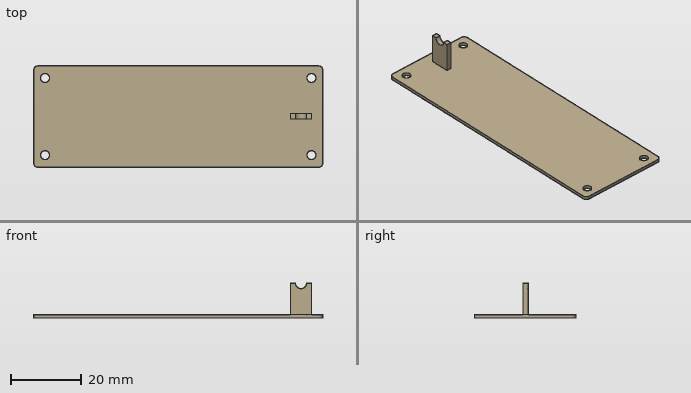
import cadquery as cq

PLATE_LENGTH = 82.5
PLATE_WIDTH = 29.0
PLATE_THICKNESS = 1.0
CORNER_RADIUS = 1.25

HOLE_DIAMETER = 2.5
HOLE_SPACING_X = 76.0
HOLE_SPACING_Y = 22.0

TOTAL_HEIGHT = 10.0
POST_WIDTH = 6.1
POST_THICKNESS = 1.55
POST_CENTER_X = 35.0
POST_CENTER_Y = 0.1
CRADLE_DIAMETER = 3.15


def make_plate():
    """Flat plate with rounded corners and four through holes."""
    return (
        cq.Workplane("XY")
        .box(PLATE_LENGTH, PLATE_WIDTH, PLATE_THICKNESS, centered=(True, True, False))
        .edges("|Z")
        .fillet(CORNER_RADIUS)
        .faces(">Z")
        .workplane()
        .rect(HOLE_SPACING_X, HOLE_SPACING_Y, forConstruction=True)
        .vertices()
        .hole(HOLE_DIAMETER)
    )


def make_post():
    """Upright post rising from the plate, with a half-round cradle running along Y."""
    post = (
        cq.Workplane("XY")
        .center(POST_CENTER_X, POST_CENTER_Y)
        .box(POST_WIDTH, POST_THICKNESS, TOTAL_HEIGHT, centered=(True, True, False))
    )
    back_face_y = POST_CENTER_Y + POST_THICKNESS / 2
    cradle = (
        cq.Workplane("XZ", origin=(0, back_face_y, 0))
        .center(POST_CENTER_X, TOTAL_HEIGHT)
        .circle(CRADLE_DIAMETER / 2)
        .extrude(POST_THICKNESS)
    )
    return post.cut(cradle)


result = make_plate().union(make_post())